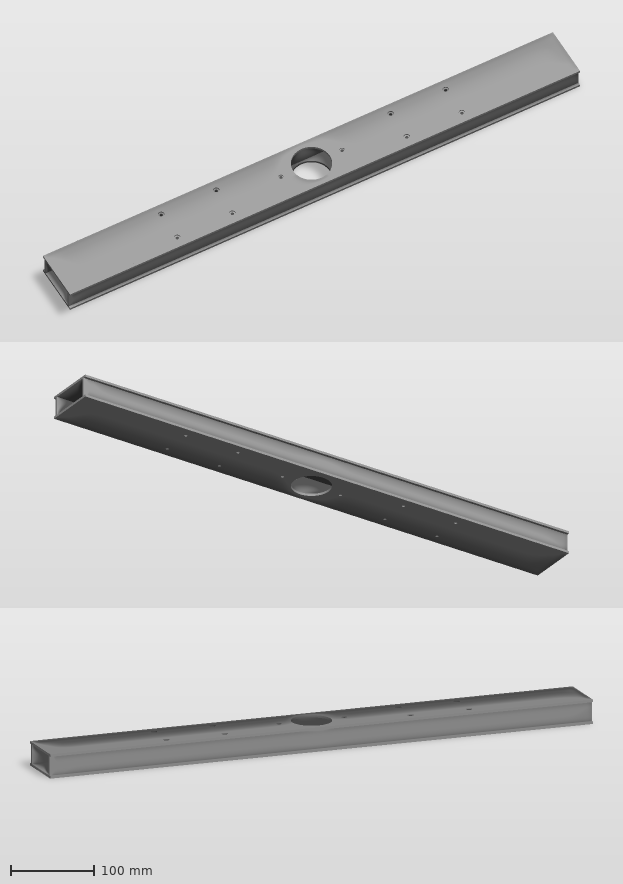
import cadquery as cq

length = 700.0
width = 67.0
height = 30.0

plate_thickness = 3.0
web_thickness = 3.0
plate_overhang = 3.5

centre_hole_diameter = 50.0
small_hole_diameter = 4.0
counterbore_depth = plate_thickness / 2
pin_counterbore_diameter = 6.0
pin_hole_offset = 42.0
screw_counterbore_diameter = 8.0
screw_column_spacing = 40.0
screw_row_offsets = (120.0, 195.0)


def make_plate(side):
    """Flat plate at the top (side = 1) or the bottom (side = -1)."""
    centre_z = side * (height - plate_thickness) / 2
    return cq.Workplane("XY").box(width, length, plate_thickness).translate((0, 0, centre_z))


def make_web(side):
    """Upright web set in from the plate edges on the +X or -X side."""
    web_height = height - 2 * plate_thickness
    centre_x = side * (width / 2 - plate_overhang - web_thickness / 2)
    return cq.Workplane("XY").box(web_thickness, length, web_height).translate((centre_x, 0, 0))


def drill_counterbored(body, points, counterbore_diameter):
    """Small holes through both plates, each with a flat-bottomed counterbore in the top face."""
    return (
        body.copyWorkplane(cq.Workplane("XY", origin=(0, 0, height / 2)))
        .pushPoints(points)
        .cboreHole(small_hole_diameter, counterbore_diameter, counterbore_depth)
    )


beam = make_plate(1).union(make_plate(-1))
for side in (-1, 1):
    beam = beam.union(make_web(side))

pin_points = [(0, side * pin_hole_offset) for side in (-1, 1)]
screw_points = [
    (x_side * screw_column_spacing / 2, y_side * row_offset)
    for x_side in (-1, 1)
    for y_side in (-1, 1)
    for row_offset in screw_row_offsets
]

centre_drill = cq.Workplane("XY").circle(centre_hole_diameter / 2).extrude(height, both=True)
beam = beam.cut(centre_drill)
beam = drill_counterbored(beam, pin_points, pin_counterbore_diameter)
beam = drill_counterbored(beam, screw_points, screw_counterbore_diameter)

result = beam